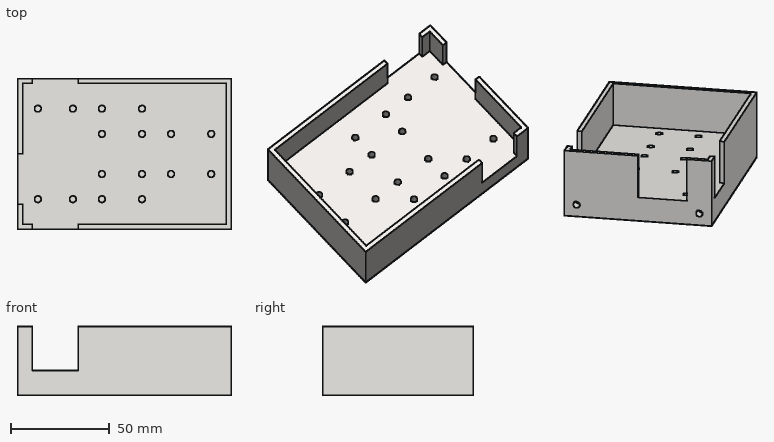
import cadquery as cq

length = 108.0
width = 76.2
height = 34.9

wall = 2.5
floor_thickness = 12.6

side_opening_start = 7.5
side_opening_length = 23.1
end_opening_width = 25.4

hole_diameter = 3.3
hole_depth = floor_thickness / 2

square_spacing = 20.3
front_pair_spacing = 17.7
group_gap = 14.7
end_margin = 10.1
outer_row_offset = 22.9
inner_row_offset = square_spacing / 2

end_hole_offset = 31.7
end_hole_height = floor_thickness / 2

x_min = -length / 2
wall_height = height - floor_thickness


def box_above_floor(x_size, y_size, x_center, y_center):
    """Box that spans from the floor surface to the rim."""
    return (
        cq.Workplane("XY", origin=(x_center, y_center, floor_thickness))
        .box(x_size, y_size, wall_height, centered=(True, True, False))
    )


def tray():
    """Solid block with its cavity and wall openings removed."""
    block = cq.Workplane("XY").box(length, width, height, centered=(True, True, False))
    cavity = box_above_floor(length - 2 * wall, width - 2 * wall, 0, 0)

    side_opening_x = x_min + side_opening_start + side_opening_length / 2
    side_openings = box_above_floor(side_opening_length, width, side_opening_x, 0)

    end_opening = box_above_floor(wall, end_opening_width, x_min + wall / 2, -end_opening_width / 2)
    return block.cut(cavity).cut(side_openings).cut(end_opening)


def floor_hole_points():
    """Hole centres: outer rows toward -X, inner rows toward +X."""
    first_x = x_min + end_margin
    second_x = first_x + front_pair_spacing
    third_x = second_x + group_gap
    fourth_x = third_x + square_spacing
    fifth_x = fourth_x + group_gap
    sixth_x = fifth_x + square_spacing

    points = []
    for side in (-1, 1):
        for x in (first_x, second_x, third_x, fourth_x):
            points.append((x, side * outer_row_offset))
        for x in (third_x, fourth_x, fifth_x, sixth_x):
            points.append((x, side * inner_row_offset))
    return points


def floor_holes():
    """Cutters that go down from the floor surface."""
    return (
        cq.Workplane("XY", origin=(0, 0, floor_thickness))
        .pushPoints(floor_hole_points())
        .circle(hole_diameter / 2)
        .extrude(-hole_depth)
    )


def end_holes():
    """Cutters that go in from the -X end face."""
    return (
        cq.Workplane("YZ", origin=(x_min, 0, end_hole_height))
        .pushPoints([(-end_hole_offset, 0), (end_hole_offset, 0)])
        .circle(hole_diameter / 2)
        .extrude(hole_depth)
    )


result = tray().cut(floor_holes()).cut(end_holes())